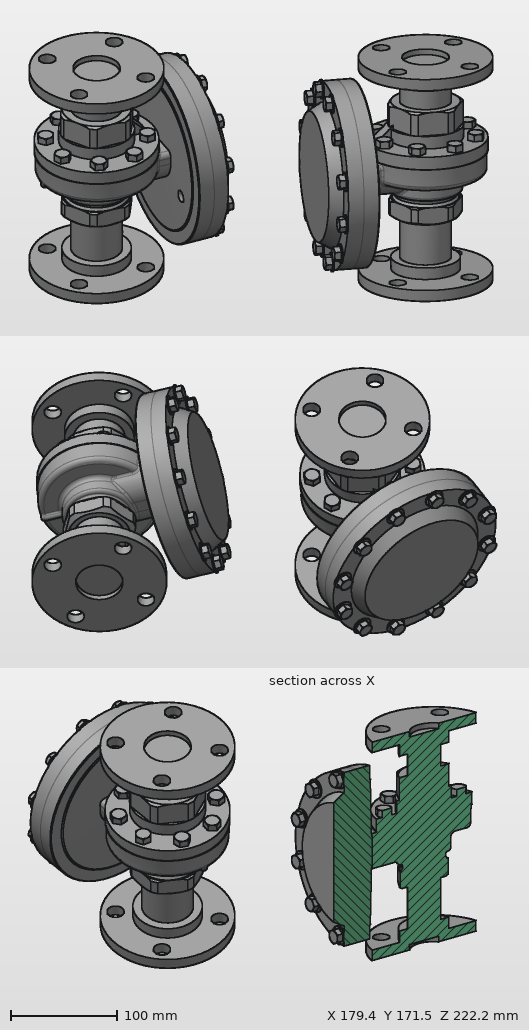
import cadquery as cq
import math


half_length = 222.2 / 2
flange_radius = 63.5
flange_thickness = 11.1
hub_radius = 65.5 / 2
hub_height = 11.5
pipe_radius = 24.5
bore_radius = 22.2
bore_depth = 5.5
flange_hole_radius = 8.0
flange_hole_offset = 35.0

hexagon_ratio = math.cos(math.pi / 6)
upper_nut_flats = 65.8
upper_nut_round = 36.0
upper_nut_bottom = 44.2
upper_nut_height = 23.0
lower_nut_flats = 64.0
lower_nut_round = 35.1
lower_nut_top = -28.7
lower_nut_height = 18.0
lower_nut_bottom = lower_nut_top - lower_nut_height
nut_face_radius = 33.0
lower_nut_end_radius = 29.5
nut_turn = 30
nut_cone_slope = math.tan(math.radians(30))

bonnet_radius = 118.0 / 2
bonnet_bottom = 19.0
bonnet_thickness = 13.0
bonnet_top = bonnet_bottom + bonnet_thickness
bonnet_boss_radius = 71.8 / 2
bonnet_bolt_count = 8
bonnet_bolt_circle = 48.0
bonnet_bolt_corners = 16.5
bonnet_bolt_turn = 30
bonnet_bolt_height = 7.0

gusset_width = 16.5
gusset_reach = 49.5
gusset_inner = 26.7

bowl_top_radius = 58.2
bowl_low_radius = 58.0
bowl_bottom = -3.5
bowl_round = 5.3
throat_radius = 35.1
throat_flare = 4.5
throat_round = 3.5
throat_bottom = -21.8
groove_radius = 29.5
groove_bottom = -25.8
collar_radius = 31.5

rib_radius = 3.5
rib_bottom = -6.7
rib_front = 54.2
rib_root_fillet = 2.2

neck_half_width = 31.3
neck_crown = 18.7
neck_shoulder = 17.3
neck_bottom = -19.1
neck_top_round = 5.3
neck_low_round = 25.1
neck_root_fillet = 3.1

trap_radius = 179.4 / 2
trap_front = 64.7
trap_joint = 80.2
trap_back = 95.1
trap_edge_chamfer = 1.0
trap_back_radius = 89.5
face_base_radius = 76.7
face_rim_radius = 75.1
face_rim = 63.8
face_apex = 61.8
dome_base_radius = 69.5
dome_top_radius = 62.2
dome_top = 108.0
trap_bolt_count = 12
trap_bolt_circle = 82.0
trap_bolt_corners = 14.7
trap_bolt_turn = 15
trap_bolt_top = 102.7
washer_radius = 9.1
washer_thickness = 1.1
port_x = 52.0
port_z = -19.1
port_radius = 5.8
port_depth = 11.1


def cylinder(radius, bottom, top):
    """Cylinder on the Z axis between two heights."""
    return cq.Workplane("XY").workplane(offset=bottom).circle(radius).extrude(top - bottom)


def hexagon(across_corners, bottom, height, turn):
    """Hexagonal prism on the Z axis with one corner at the angle `turn`."""
    prism = cq.Workplane("XY").polygon(6, across_corners).extrude(height)
    return prism.rotate((0, 0, 0), (0, 0, 1), turn).translate((0, 0, bottom))


def coned_hexagon(across_corners, round_radius, end_radius, bottom, height, turn):
    """Hexagon with its corners turned to a round and its top edge coned."""
    cone_width = round_radius - end_radius
    turned = cylinder(round_radius, bottom, bottom + height)
    turned = turned.faces(">Z").chamfer(cone_width * nut_cone_slope, cone_width)
    return hexagon(across_corners, bottom, height, turn).intersect(turned)


def make_upper_nut():
    """Union nut above the bonnet, two of its flats facing X."""
    corners = upper_nut_flats / hexagon_ratio
    return coned_hexagon(
        corners, upper_nut_round, nut_face_radius, upper_nut_bottom, upper_nut_height, nut_turn
    )


def make_lower_nut():
    """Union nut below the bowl, coned at both ends and more deeply at the bottom."""
    corners = lower_nut_flats / hexagon_ratio
    nut = coned_hexagon(
        corners, lower_nut_round, nut_face_radius, lower_nut_bottom, lower_nut_height, nut_turn
    )
    cone_width = lower_nut_round - lower_nut_end_radius
    turned = cylinder(lower_nut_round, lower_nut_bottom, lower_nut_top)
    turned = turned.faces("<Z").chamfer(cone_width * nut_cone_slope, cone_width)
    return nut.intersect(turned)


def pipe_end():
    """Upper pipe end: drilled flange, hub and pipe stub with a shallow bore."""
    flange_inner = half_length - flange_thickness
    hub_inner = flange_inner - hub_height
    end = cylinder(flange_radius, flange_inner, half_length)
    end = end.union(cylinder(hub_radius, hub_inner, flange_inner))
    end = end.cut(cylinder(bore_radius, half_length - bore_depth, half_length))
    hole = cylinder(flange_hole_radius, flange_inner, half_length)
    for x in (-flange_hole_offset, flange_hole_offset):
        for y in (-flange_hole_offset, flange_hole_offset):
            end = end.cut(hole.translate((x, y, 0)))
    return end.union(cylinder(pipe_radius, 0, hub_inner))


def bolt_head(across_corners, bottom, height, turn):
    """Hexagon head coned at the top down to its width across flats."""
    corner_radius = across_corners / 2
    return coned_hexagon(
        across_corners, corner_radius, corner_radius * hexagon_ratio, bottom, height, turn
    )


def bonnet():
    """Bolted cover on top of the bowl, with its central boss."""
    cover = cylinder(bonnet_radius, bonnet_bottom, bonnet_top)
    cover = cover.union(cylinder(bonnet_boss_radius, bonnet_top, upper_nut_bottom))
    step = 360 / bonnet_bolt_count
    head = bolt_head(bonnet_bolt_corners, bonnet_top, bonnet_bolt_height, bonnet_bolt_turn)
    head = head.translate((bonnet_bolt_circle, 0, 0))
    for i in range(bonnet_bolt_count):
        cover = cover.union(head.rotate((0, 0, 0), (0, 0, 1), (i + 0.5) * step))
    return cover


def gusset():
    """45 degree web from the bonnet up to the union, on the +Y side."""
    top = bonnet_top + gusset_reach - gusset_inner
    return (
        cq.Workplane("YZ")
        .moveTo(gusset_inner, bonnet_top)
        .lineTo(gusset_reach, bonnet_top)
        .lineTo(gusset_inner, top)
        .close()
        .extrude(gusset_width / 2, both=True)
    )


def bowl():
    """Turned bowl, throat and groove between the bonnet and the lower union."""
    diagonal = math.sqrt(0.5)
    bowl_corner_r = bowl_low_radius - bowl_round
    bowl_corner_z = bowl_bottom + bowl_round
    flare_z = bowl_bottom - throat_flare
    throat_corner_r = throat_radius - throat_round
    groove_round = throat_corner_r - groove_radius
    throat_corner_z = throat_bottom + throat_round
    return (
        cq.Workplane("XZ")
        .moveTo(0, bonnet_bottom)
        .lineTo(bowl_top_radius, bonnet_bottom)
        .lineTo(bowl_low_radius, bowl_corner_z)
        .threePointArc(
            (bowl_corner_r + bowl_round * diagonal, bowl_corner_z - bowl_round * diagonal),
            (bowl_corner_r, bowl_bottom),
        )
        .lineTo(throat_radius + throat_flare, bowl_bottom)
        .threePointArc(
            (
                throat_radius + throat_flare * (1 - diagonal),
                flare_z + throat_flare * diagonal,
            ),
            (throat_radius, flare_z),
        )
        .lineTo(throat_radius, throat_corner_z)
        .threePointArc(
            (
                throat_corner_r + throat_round * diagonal,
                throat_corner_z - throat_round * diagonal,
            ),
            (throat_corner_r, throat_bottom),
        )
        .threePointArc(
            (
                throat_corner_r - groove_round * diagonal,
                throat_bottom - groove_round * (1 - diagonal),
            ),
            (groove_radius, throat_bottom - groove_round),
        )
        .lineTo(groove_radius, groove_bottom)
        .lineTo(collar_radius, lower_nut_top)
        .lineTo(0, lower_nut_top)
        .close()
        .revolve(360, (0, 0, 0), (0, 1, 0))
    )


def drain_rib():
    """Round rib running along Y under the front of the bowl, with a ball end."""
    rib = cq.Workplane("XZ").circle(rib_radius).extrude(rib_front)
    rib = rib.union(cq.Workplane("XY").sphere(rib_radius).translate((0, -rib_front, 0)))
    return rib.translate((0, 0, rib_bottom + rib_radius))


def neck():
    """Side neck with a crowned top, small upper and large lower corner rounds."""
    outline = (
        cq.Workplane("XZ")
        .moveTo(-neck_half_width, neck_bottom)
        .lineTo(-neck_half_width, neck_shoulder)
        .threePointArc((0, neck_crown), (neck_half_width, neck_shoulder))
        .lineTo(neck_half_width, neck_bottom)
        .close()
    )
    block = outline.extrude(-trap_front)
    block = block.edges("|Y").edges(">Z").fillet(neck_top_round)
    return block.edges("|Y").edges("<Z").fillet(neck_low_round)


def casting():
    """Bowl with its drain rib and side neck, the roots of both filleted into it."""
    rib_reach = rib_radius + rib_root_fillet
    rib_roots = cq.selectors.BoxSelector(
        (-rib_reach, -bowl_low_radius, rib_bottom - rib_root_fillet),
        (rib_reach, -throat_radius, 0),
    )
    body = bowl().union(drain_rib())
    body = body.edges(rib_roots).fillet(rib_root_fillet)

    neck_roots = cq.selectors.BoxSelector(
        (-neck_half_width, throat_radius / 2, neck_bottom),
        (neck_half_width, bowl_low_radius - 2 * bowl_round, 0),
    )
    body = body.union(neck())
    return body.edges(neck_roots).fillet(neck_root_fillet)


def make_trap():
    """Round trap body: shallow coned face, bolted rim and domed back."""
    trap = (
        cq.Workplane("XY")
        .moveTo(0, face_apex)
        .lineTo(face_rim_radius, face_rim)
        .lineTo(face_base_radius, trap_front)
        .lineTo(trap_radius - trap_edge_chamfer, trap_front)
        .lineTo(trap_radius, trap_front + trap_edge_chamfer)
        .lineTo(trap_radius, trap_joint)
        .lineTo(trap_back_radius, trap_back)
        .lineTo(dome_base_radius, trap_back)
        .lineTo(dome_top_radius, dome_top)
        .lineTo(0, dome_top)
        .close()
        .revolve(360, (0, 0, 0), (0, 1, 0))
    )
    port = cq.Workplane("XZ", origin=(port_x, 0, port_z)).circle(port_radius)
    trap = trap.cut(port.extrude(-trap_front - port_depth))
    step = 360 / trap_bolt_count
    seat = trap_back + washer_thickness
    bolt = cylinder(washer_radius, trap_back, seat)
    bolt = bolt.union(bolt_head(trap_bolt_corners, seat, trap_bolt_top - seat, trap_bolt_turn))
    bolt = bolt.rotate((0, 0, 0), (1, 0, 0), -90).translate((trap_bolt_circle, 0, 0))
    for i in range(trap_bolt_count):
        trap = trap.union(bolt.rotate((0, 0, 0), (0, 1, 0), (i + 0.5) * step))
    return trap


def make_valve(trap):
    """Flanged inline body whose side neck butts against the trap face."""
    upper_end = pipe_end()
    lower_end = upper_end.mirror("XY")
    valve = casting()
    pieces = (bonnet(), make_upper_nut(), make_lower_nut(), gusset(), upper_end, lower_end)
    for piece in pieces:
        valve = valve.union(piece)
    return valve.cut(trap)


trap = make_trap()
valve = make_valve(trap)

result = cq.Compound.makeCompound([valve.val(), trap.val()])